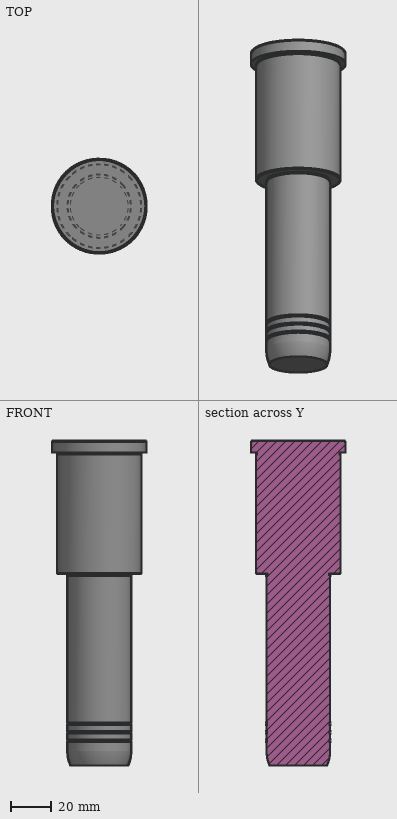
import cadquery as cq
import math

total_length = 161.0
head_diameter = 47.0
head_height = 6.0
head_chamfer = 0.6
body_diameter = 42.0
body_end_depth = 66.0
body_chamfer = 0.5
pin_diameter = 31.9

neck_height = 1.0
neck_inset = 0.5

groove_count = 3
first_groove_depth = 139.7
groove_pitch = 4.2
groove_width = 1.1
groove_inset = 0.3

nose_length = 7.2
nose_tip_radius = 14.3

head_radius = head_diameter / 2
body_radius = body_diameter / 2
pin_radius = pin_diameter / 2


def cylinder(radius, bottom, top):
    """Upright cylinder on the Z axis between two heights."""
    return cq.Workplane("XY").workplane(offset=bottom).circle(radius).extrude(top - bottom)


def relief_ring(radius, top, height, inset):
    """Ring to cut below the given height: square upper shoulder, 45 degree lower shoulder."""
    bottom = top - height
    return (
        cq.Workplane("XZ")
        .moveTo(radius, top)
        .lineTo(radius - inset, top)
        .lineTo(radius - inset, bottom + inset)
        .lineTo(radius, bottom)
        .close()
        .revolve(360, (0, 0, 0), (0, 1, 0))
    )


def make_head():
    head = cylinder(head_radius, total_length - head_height, total_length)
    return head.faces(">Z").edges().chamfer(head_chamfer)


def make_body():
    bottom = total_length - body_end_depth
    top = total_length - head_height
    body = cylinder(body_radius, bottom, top).faces("<Z").edges().chamfer(body_chamfer)
    return body.cut(relief_ring(body_radius, top, neck_height, neck_inset))


def make_pin():
    top = total_length - body_end_depth
    pin = cylinder(pin_radius, nose_length, top)
    pin = pin.cut(relief_ring(pin_radius, top, neck_height, neck_inset))
    for index in range(groove_count):
        groove_top = total_length - first_groove_depth - index * groove_pitch
        pin = pin.cut(relief_ring(pin_radius, groove_top, groove_width, groove_inset))
    return pin


def make_nose():
    tip_inset = pin_radius - nose_tip_radius
    arc_radius = (nose_length**2 + tip_inset**2) / (2 * tip_inset)
    half_angle = math.asin(nose_length / arc_radius) / 2
    arc_middle = (
        pin_radius - arc_radius * (1 - math.cos(half_angle)),
        nose_length - arc_radius * math.sin(half_angle),
    )
    return (
        cq.Workplane("XZ")
        .moveTo(0, nose_length)
        .lineTo(pin_radius, nose_length)
        .threePointArc(arc_middle, (nose_tip_radius, 0))
        .lineTo(0, 0)
        .close()
        .revolve(360, (0, 0, 0), (0, 1, 0))
    )


result = make_head().union(make_body()).union(make_pin()).union(make_nose())